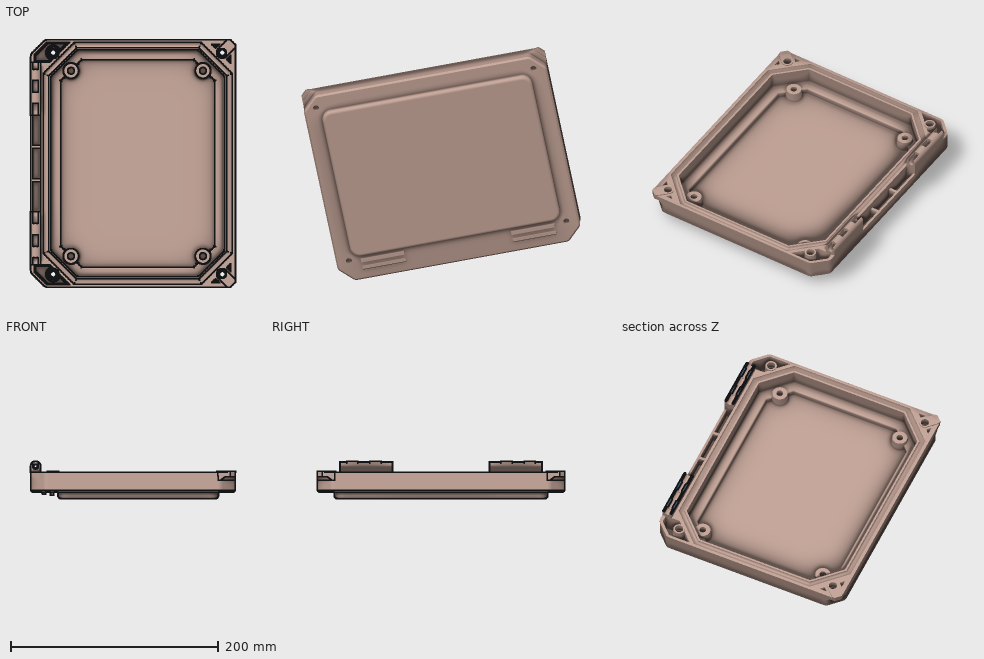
import cadquery as cq
import math


length_x = 197.8
length_y = 239.1
right_x = length_x / 2
left_x = -right_x
back_y = length_y / 2
frame_bottom_z = 6.5
rim_z = 25.8
pad_top_z = 26.8
top_z = 36.3
frame_height = rim_z - frame_bottom_z
corner_chamfer = 14.3
corner_round = 6.2
frame_draft = 0.6
frame_bottom_chamfer = 1.7

cavity_x = 4.5
octagon_half_x = 91.0
octagon_half_y = 116.7
octagon_chamfer = 30.0
groove_width = 5.3
groove_corner_radius = 2.5
cavity_inset = 7.2
recess_inset = 16.7
ledge_z = 9.5
ledge_fillet = 1.7
recess_floor_z = 3.0
recess_fillet = 1.5

panel_x = 5.0
panel_inset = 13.6
panel_corner_round = 9.5
panel_fillet = 3.3

boss_x = 3.8
boss_spacing_x = 127.2
boss_spacing_y = 178.9
boss_top_diameter = 14.5
boss_base_diameter = 16.7
boss_height = 10.0
boss_foot_round = 1.5
boss_hole_diameter = 6.5
boss_hole_depth = 8.1

left_hole_x = -77.0
right_hole_x = 86.0
hole_y = 107.0
hole_diameter = 5.7
counterbore_diameter = 8.0
counterbore_depth = 7.2
pad_diameter = 11.0

pocket_side_wall = 3.5
pocket_back_wall = 2.6
pocket_floor_z = 8.4
pocket_draft = 5.0
pocket_chamfer = 12.2
pocket_back_end_x = -61.2

tab_chamfer = 5.0
tab_flat_z = 21.3
tab_root_z = 18.0
tab_ramp_length = 3.0

triangle_base = 7.7
triangle_depth = 4.8
triangle_gap = 2.6
triangle_edge = 8.1
triangle_draft = 8.0

knuckle_width = 9.8
knuckle_radius = knuckle_width / 2
knuckle_x = left_x + knuckle_radius
knuckle_z = top_z - knuckle_radius
knuckle_right_x = left_x + knuckle_width
knuckle_inner_y = 46.6
knuckle_outer_y = 97.5
pin_diameter = 3.5
knuckle_slot_width = 5.5
knuckle_slot_spans = [(knuckle_inner_y, 57.9), (68.9, 80.0), (90.9, knuckle_outer_y)]

gap_z = 19.0
gap_wall = 2.5
gap_rib_width = 2.9
gap_rib_y = 16.3

rib_inner_y = 52.5
rib_outer_y = 95.2
outer_rib_left_x = -88.5
outer_rib_right_x = -84.2
outer_rib_slope = 1.5
outer_rib_z = 4.3
inner_rib_left_x = -79.6
inner_rib_right_x = -76.3
inner_rib_z = 3.3


def box(x0, x1, y0, y1, z0, z1):
    return cq.Workplane("XY").box(x1 - x0, y1 - y0, z1 - z0, centered=False).translate((x0, y0, z0))


def both_ends(solid):
    """The solid together with its mirror image at the other Y end."""
    return solid.union(solid.mirror("XZ"))


def chamfered_rectangle(half_x, half_y, chamfer, center_x=0):
    """Corner points of a rectangle with its four corners cut at 45 degrees."""
    return [
        (center_x + half_x, half_y - chamfer),
        (center_x + half_x - chamfer, half_y),
        (center_x - half_x + chamfer, half_y),
        (center_x - half_x, half_y - chamfer),
        (center_x - half_x, -half_y + chamfer),
        (center_x - half_x + chamfer, -half_y),
        (center_x + half_x - chamfer, -half_y),
        (center_x + half_x, -half_y + chamfer),
    ]


def cavity_octagon(inset):
    """The cavity octagon offset inwards, all eight sides by the same distance."""
    chamfer = octagon_chamfer - inset * (2 - math.sqrt(2))
    return chamfered_rectangle(octagon_half_x - inset, octagon_half_y - inset, chamfer, cavity_x)


def make_drafted_block(chamfer):
    """Full-size block below the rim, its sides drafted inwards towards the bottom."""
    return (
        cq.Workplane("XY", origin=(0, 0, rim_z))
        .polyline(chamfered_rectangle(right_x, back_y, chamfer)).close()
        .extrude(-frame_height, taper=frame_draft)
    )


def make_frame():
    rounded = make_drafted_block(corner_chamfer).edges("not #Z").fillet(corner_round)
    return rounded.faces("<Z").chamfer(frame_bottom_chamfer)


def make_panel():
    size_x = 2 * (octagon_half_x - panel_inset)
    size_y = 2 * (octagon_half_y - panel_inset)
    return (
        cq.Workplane("XY").center(panel_x, 0)
        .rect(size_x, size_y)
        .extrude(ledge_z)
        .edges("|Z").fillet(panel_corner_round)
        .faces("<Z").edges().fillet(panel_fillet)
    )


def make_corner_tab():
    """Squared-off right corner whose underside ramps up away from the chamfered frame."""
    upper_envelope = (
        cq.Workplane("XY", origin=(0, 0, rim_z))
        .polyline(chamfered_rectangle(right_x, back_y, tab_chamfer)).close()
        .extrude(pad_top_z - rim_z)
    )
    envelope = make_drafted_block(tab_chamfer).union(upper_envelope)
    diagonal = cq.Plane(origin=(right_hole_x, hole_y, 0), xDir=(1, 1, 0), normal=(1, -1, 0))
    reach = right_x + back_y - right_hole_x - hole_y
    ramp_start = (reach - corner_chamfer) / math.sqrt(2)
    ramp_end = ramp_start + tab_ramp_length
    wedge_start = ramp_start - corner_round * math.tan(math.pi / 8) / math.sqrt(2)
    wedge = (
        cq.Workplane(diagonal)
        .moveTo(wedge_start, tab_root_z)
        .lineTo(ramp_start, tab_root_z)
        .lineTo(ramp_end, tab_flat_z)
        .lineTo(reach, tab_flat_z)
        .lineTo(reach, rim_z)
        .lineTo(wedge_start, rim_z)
        .close()
        .extrude(reach, both=True)
    )
    strip_height = pad_top_z - tab_flat_z
    strip = (
        cq.Workplane(diagonal)
        .center(reach / 2, tab_flat_z + strip_height / 2)
        .rect(reach, strip_height)
        .extrude(pad_diameter / 2, both=True)
    )
    pad = cq.Workplane("XY", origin=(right_hole_x, hole_y, tab_flat_z)).circle(pad_diameter / 2)
    return wedge.union(strip).intersect(envelope).union(pad.extrude(strip_height))


def make_corner_pocket():
    """Open pocket in a left corner, between the outer walls, the hinge and the cavity."""
    pocket_left_x = left_x + pocket_side_wall
    pocket_back_y = back_y - pocket_back_wall
    slant = pocket_back_y - knuckle_outer_y
    depth = rim_z - pocket_floor_z
    return (
        cq.Workplane("XY", origin=(0, 0, rim_z))
        .moveTo(pocket_left_x, knuckle_outer_y)
        .lineTo(pocket_left_x, pocket_back_y - pocket_chamfer)
        .lineTo(pocket_left_x + pocket_chamfer, pocket_back_y)
        .lineTo(pocket_back_end_x, pocket_back_y)
        .lineTo(pocket_back_end_x - slant, knuckle_outer_y)
        .close()
        .extrude(-depth, taper=pocket_draft)
    )


def make_corner_post():
    """Tapered post around the fixing hole, standing on the pocket floor."""
    height = pad_top_z - pocket_floor_z
    return (
        cq.Workplane("XY", origin=(left_hole_x, hole_y, pad_top_z))
        .circle(pad_diameter / 2)
        .extrude(-height, taper=-pocket_draft)
    )


def make_triangle_pocket(swap_axes):
    """Blind triangle beside the right hole; swapping the axes mirrors it about the corner diagonal."""
    near = -triangle_gap
    far = near - triangle_base
    middle = near - triangle_base / 2
    offsets = [(near, triangle_edge), (far, triangle_edge), (middle, triangle_edge - triangle_base / 2)]
    if swap_axes:
        offsets = [(y, x) for x, y in offsets]
    return (
        cq.Workplane("XY", origin=(right_hole_x, hole_y, rim_z))
        .polyline(offsets).close()
        .extrude(-triangle_depth, taper=triangle_draft)
    )


def make_knuckle():
    return (
        cq.Workplane("XZ", origin=(knuckle_x, knuckle_outer_y, 0))
        .moveTo(-knuckle_radius, rim_z)
        .lineTo(-knuckle_radius, knuckle_z)
        .threePointArc((0, top_z), (knuckle_radius, knuckle_z))
        .lineTo(knuckle_radius, rim_z)
        .close()
        .extrude(knuckle_outer_y - knuckle_inner_y)
    )


def make_knuckle_slots():
    """Round-bottomed slots, open at the top, reaching down around the hinge pin."""
    slots = cq.Workplane("XY")
    for start_y, end_y in knuckle_slot_spans:
        trough = (
            cq.Workplane("XZ", origin=(knuckle_x, end_y, knuckle_z))
            .circle(knuckle_slot_width / 2)
            .extrude(end_y - start_y)
        )
        half_width = knuckle_slot_width / 2
        opening = box(knuckle_x - half_width, knuckle_x + half_width, start_y, end_y, knuckle_z, top_z)
        slots = slots.union(trough).union(opening)
    return slots


def make_pin_hole():
    return (
        cq.Workplane("XZ", origin=(knuckle_x, back_y, knuckle_z))
        .circle(pin_diameter / 2)
        .extrude(length_y)
    )


def make_hinge_gap():
    """Clearance between the knuckles and the three pockets behind its low outer wall."""
    gap = box(left_x, knuckle_right_x, -knuckle_inner_y, knuckle_inner_y, gap_z, rim_z)
    rib_near_y = gap_rib_y - gap_rib_width / 2
    rib_far_y = gap_rib_y + gap_rib_width / 2
    pocket_spans = [(-knuckle_inner_y, -rib_far_y), (-rib_near_y, rib_near_y), (rib_far_y, knuckle_inner_y)]
    for start_y, end_y in pocket_spans:
        gap = gap.union(box(left_x + gap_wall, knuckle_right_x, start_y, end_y, pocket_floor_z, gap_z))
    return gap


def make_under_ribs():
    """Two short ribs under the left edge; the outer one has a sloping outer face."""
    outer_rib = (
        cq.Workplane("XZ", origin=(0, rib_outer_y, 0))
        .moveTo(outer_rib_left_x, frame_bottom_z)
        .lineTo(outer_rib_left_x + outer_rib_slope, outer_rib_z)
        .lineTo(outer_rib_right_x, outer_rib_z)
        .lineTo(outer_rib_right_x, frame_bottom_z)
        .close()
        .extrude(rib_outer_y - rib_inner_y)
    )
    inner_rib = box(
        inner_rib_left_x, inner_rib_right_x, rib_inner_y, rib_outer_y, inner_rib_z, frame_bottom_z
    )
    return outer_rib.union(inner_rib)


def make_cavity():
    """Main cavity with a ledge, and the deeper recess inside the ledge."""
    main = (
        cq.Workplane("XY", origin=(0, 0, ledge_z))
        .polyline(cavity_octagon(cavity_inset)).close()
        .extrude(rim_z - ledge_z)
        .faces("<Z").edges().fillet(ledge_fillet)
    )
    recess = (
        cq.Workplane("XY", origin=(0, 0, recess_floor_z))
        .polyline(cavity_octagon(recess_inset)).close()
        .extrude(ledge_z - recess_floor_z)
        .faces("<Z").edges().fillet(recess_fillet)
    )
    return main.union(recess)


def round_ledge_edge(body):
    """Rounds the inner edge of the ledge, where it drops into the recess."""
    tolerance = 0.12
    reach_x = octagon_half_x - recess_inset + tolerance
    reach_y = octagon_half_y - recess_inset + tolerance
    ledge_edge = cq.selectors.BoxSelector(
        (cavity_x - reach_x, -reach_y, ledge_z - tolerance),
        (cavity_x + reach_x, reach_y, ledge_z + tolerance),
        boundingbox=True,
    )
    return body.edges(ledge_edge).fillet(recess_fillet)


def make_gasket_groove():
    """Groove running around the cavity, with a narrow flat floor between two quarter rounds."""
    points = cavity_octagon(groove_width / 2)
    path = cq.Workplane("XY", origin=(0, 0, rim_z)).polyline(points).close()
    start_x, start_y = points[-1]
    half_floor = groove_width / 2 - groove_corner_radius
    return (
        cq.Workplane("XZ", origin=(start_x, start_y, rim_z))
        .moveTo(-groove_width / 2, 0)
        .radiusArc((-half_floor, -groove_corner_radius), -groove_corner_radius)
        .lineTo(half_floor, -groove_corner_radius)
        .radiusArc((groove_width / 2, 0), -groove_corner_radius)
        .close()
        .sweep(path, transition="right")
    )


def make_boss():
    """Tapered round boss on the recess floor, with a rounded foot."""
    base_radius = boss_base_diameter / 2
    foot_radius = base_radius + boss_foot_round
    foot_bulge = boss_foot_round * (1 - math.sqrt(0.5))
    return (
        cq.Workplane("XZ")
        .lineTo(foot_radius, 0)
        .threePointArc((base_radius + foot_bulge, foot_bulge), (base_radius, boss_foot_round))
        .lineTo(boss_top_diameter / 2, boss_height)
        .lineTo(0, boss_height)
        .close()
        .revolve(360, (0, 0), (0, 1))
        .translate((0, 0, recess_floor_z))
    )


def make_boss_hole():
    return (
        cq.Workplane("XY", origin=(0, 0, recess_floor_z + boss_height))
        .circle(boss_hole_diameter / 2)
        .extrude(-boss_hole_depth)
    )


def make_fixing_hole(center_x):
    """Through hole with a counterbore from the top."""
    through = cq.Workplane("XY", origin=(center_x, hole_y, 0)).circle(hole_diameter / 2).extrude(top_z)
    counterbore = (
        cq.Workplane("XY", origin=(center_x, hole_y, pad_top_z))
        .circle(counterbore_diameter / 2)
        .extrude(-counterbore_depth)
    )
    return through.union(counterbore)


result = make_frame().union(make_panel()).union(both_ends(make_corner_tab()))
result = round_ledge_edge(result.cut(make_cavity())).cut(make_gasket_groove())

result = result.cut(both_ends(make_corner_pocket())).union(both_ends(make_corner_post()))

for swapped in (False, True):
    result = result.cut(both_ends(make_triangle_pocket(swapped)))

for hole_x in (left_hole_x, right_hole_x):
    result = result.cut(both_ends(make_fixing_hole(hole_x)))

for side_x in (-1, 1):
    for side_y in (-1, 1):
        center = (boss_x + side_x * boss_spacing_x / 2, side_y * boss_spacing_y / 2, 0)
        result = result.union(make_boss().translate(center))
        result = result.cut(make_boss_hole().translate(center))

result = result.cut(make_hinge_gap()).union(both_ends(make_knuckle()))
result = result.cut(both_ends(make_knuckle_slots())).cut(make_pin_hole())

result = result.union(both_ends(make_under_ribs()))